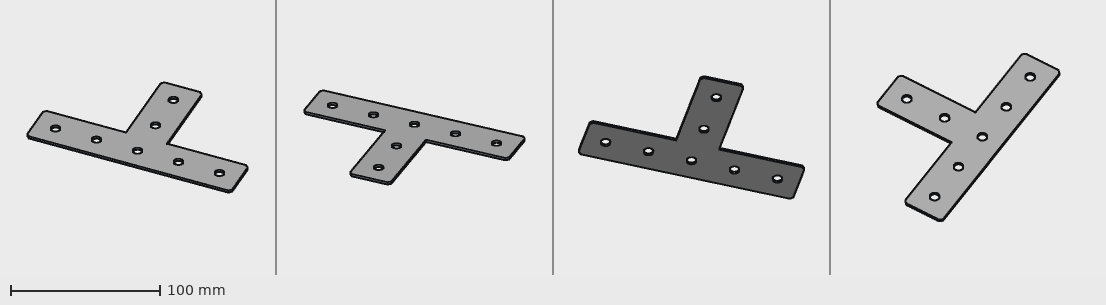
import cadquery as cq

length = 150.0
arm_width = length / 5
stem_length = 2 * arm_width
thickness = 2.0
hole_diameter = 6.6
corner_chamfer = 2.0

pitch = arm_width


def make_bar():
    """Cross bar along X with its four corners cut off."""
    bar = cq.Workplane("XY").rect(length, arm_width).extrude(thickness)
    return bar.edges("|Z").chamfer(corner_chamfer)


def make_stem():
    """Stem along +Y, overlapping the bar, with its two free corners cut off."""
    stem = (
        cq.Workplane("XY")
        .center(0, stem_length / 2)
        .rect(arm_width, arm_width + stem_length)
        .extrude(thickness)
    )
    return stem.edges("|Z and >Y").chamfer(corner_chamfer)


bar_holes = [(i * pitch, 0) for i in range(-2, 3)]
stem_holes = [(0, i * pitch) for i in range(1, 3)]
holes = (
    cq.Workplane("XY")
    .pushPoints(bar_holes + stem_holes)
    .circle(hole_diameter / 2)
    .extrude(thickness)
)

result = make_bar().union(make_stem()).clean().cut(holes)